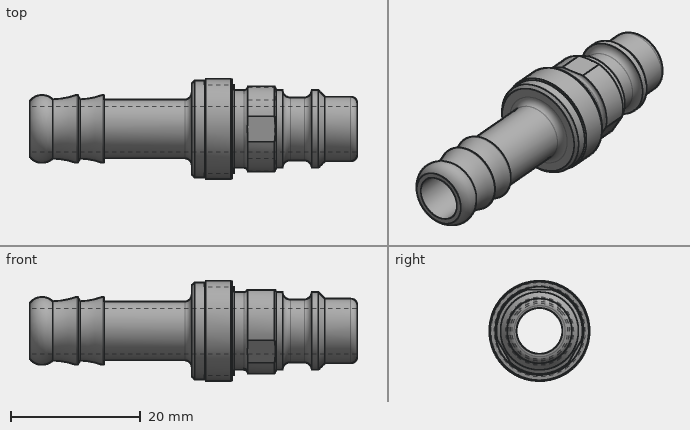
import cadquery as cq
import math

LENGTH = 50.5
BORE_R = 7.0 / 2

TUBE_R = 9.1 / 2
NOSE_FACE_R = 4.3
NOSE_R = 5.25
NOSE_PEAK_X = 1.8
NOSE_END_X = 3.55
BARB_ROOT_R = 4.6
BARB_R = 5.25
BARB_TIP = 0.15
BARB_1_X = 7.15
BARB_2_X = 11.15
BARB_SAG = 0.15
BARB_2_ROOT_X = 7.8

FLANGE_X = 24.95
FLANGE_R = 15.0 / 2
FLANGE_FACE_R = 14.05 / 2
FLANGE_CHAMFER_LENGTH = 0.5
TUBE_FILLET = 1.05
FLANGE_END_X = 26.95
SEAT_R = 13.65 / 2
SEAT_END_X = 31.5
RING_GAP = 0.15
RING_START_X = FLANGE_END_X + RING_GAP
RING_END_X = 31.25
RING_R = 15.5 / 2
RING_CHAMFER_LENGTH = 0.3
RING_CHAMFER_DEPTH = 0.15

NECK_R = 12.0 / 2
WRENCH_X = 33.65
WRENCH_END_X = 37.7
WRENCH_R = 13.25 / 2
NECK_END_X = WRENCH_X - (WRENCH_R - NECK_R)
WRENCH_CHAMFER_END_X = 38.05
FLAT_DISTANCE = 6.3
FLAT_COUNT = 3

PLUG_R = 10.0 / 2
GROOVE_R = 9.75 / 2
SHOULDER_END_X = 39.0
GROOVE_DEPTH = NECK_R - GROOVE_R
GROOVE_END_X = 42.3
BEAD_X = GROOVE_END_X + GROOVE_DEPTH
BEAD_END_X = 44.5
BEAD_SLOPE_END_X = BEAD_END_X + NECK_R - PLUG_R
TIP_ROUND = 1.05
COS_45 = math.cos(math.radians(45))


def barb_slope(outline, start_x, crest_x):
    """Add a slightly hollow slope that rises from a barb's root to its crest."""
    middle = ((start_x + crest_x) / 2, (BARB_ROOT_R + BARB_R) / 2 - BARB_SAG)
    return outline.threePointArc(middle, (crest_x, BARB_R))


def barb_crest(outline, crest_x):
    """Add the rounded back edge of a barb."""
    middle = (crest_x + BARB_TIP * (1 + COS_45), BARB_R - BARB_TIP * (1 - COS_45))
    outline = outline.lineTo(crest_x + BARB_TIP, BARB_R)
    return outline.threePointArc(middle, (crest_x + 2 * BARB_TIP, BARB_R - BARB_TIP))


def hollow_corner(outline, start, end, center):
    """Add a concave quarter round between two points."""
    radius = abs(end[0] - start[0])
    side_x = math.copysign(1, (start[0] + end[0]) / 2 - center[0])
    middle = (center[0] + side_x * radius * COS_45, center[1] - radius * COS_45)
    return outline.threePointArc(middle, end)


def tail_outline():
    """Outline of the hose tail, from the bore to the foot of the flange fillet."""
    outline = cq.Workplane("XY").moveTo(0, BORE_R).lineTo(0, NOSE_FACE_R)
    outline = outline.threePointArc((NOSE_PEAK_X, NOSE_R), (NOSE_END_X, BARB_ROOT_R))
    outline = barb_slope(outline, NOSE_END_X, BARB_1_X)
    outline = barb_crest(outline, BARB_1_X).lineTo(BARB_2_ROOT_X, BARB_ROOT_R)
    outline = barb_slope(outline, BARB_2_ROOT_X, BARB_2_X)
    outline = barb_crest(outline, BARB_2_X).lineTo(BARB_2_X + 2 * BARB_TIP, TUBE_R)
    return outline.lineTo(FLANGE_X - TUBE_FILLET, TUBE_R)


def add_flange_and_wrench(outline):
    """Continue the outline over the flange, the ring seat and the wrench section."""
    foot = (FLANGE_X - TUBE_FILLET, TUBE_R)
    outline = hollow_corner(
        outline, foot, (FLANGE_X, TUBE_R + TUBE_FILLET), (foot[0], TUBE_R + TUBE_FILLET)
    )
    outline = (
        outline.lineTo(FLANGE_X, FLANGE_FACE_R)
        .lineTo(FLANGE_X + FLANGE_CHAMFER_LENGTH, FLANGE_R)
        .lineTo(FLANGE_END_X, FLANGE_R)
        .lineTo(FLANGE_END_X, SEAT_R)
        .lineTo(SEAT_END_X, SEAT_R)
        .lineTo(SEAT_END_X, NECK_R)
        .lineTo(NECK_END_X, NECK_R)
    )
    outline = hollow_corner(
        outline, (NECK_END_X, NECK_R), (WRENCH_X, WRENCH_R), (NECK_END_X, WRENCH_R)
    )
    return (
        outline.lineTo(WRENCH_END_X, WRENCH_R)
        .lineTo(WRENCH_CHAMFER_END_X, NECK_R)
        .lineTo(SHOULDER_END_X, NECK_R)
    )


def add_plug(outline):
    """Continue the outline over the locking groove, the bead and the plug tip."""
    groove_x = SHOULDER_END_X + GROOVE_DEPTH
    outline = hollow_corner(
        outline, (SHOULDER_END_X, NECK_R), (groove_x, GROOVE_R), (groove_x, NECK_R)
    )
    outline = outline.lineTo(GROOVE_END_X, GROOVE_R)
    outline = hollow_corner(
        outline, (GROOVE_END_X, GROOVE_R), (BEAD_X, NECK_R), (GROOVE_END_X, NECK_R)
    )
    tip_middle = (
        LENGTH - TIP_ROUND * (1 - COS_45),
        PLUG_R - TIP_ROUND * (1 - COS_45),
    )
    return (
        outline.lineTo(BEAD_END_X, NECK_R)
        .lineTo(BEAD_SLOPE_END_X, PLUG_R)
        .lineTo(LENGTH - TIP_ROUND, PLUG_R)
        .threePointArc(tip_middle, (LENGTH, PLUG_R - TIP_ROUND))
        .lineTo(LENGTH, BORE_R)
    )


def make_flat_cutters():
    """One block above each wrench flat, evenly spaced about the axis."""
    length = WRENCH_CHAMFER_END_X - NECK_END_X
    block = cq.Workplane("XY").box(length, 2 * WRENCH_R, WRENCH_R, centered=(False, True, False))
    block = block.translate((NECK_END_X, 0, FLAT_DISTANCE))
    return [block.rotate((0, 0, 0), (1, 0, 0), i * 360 / FLAT_COUNT) for i in range(FLAT_COUNT)]


def make_nipple():
    """Hollow nipple with the hose tail, wrench section and plug in one piece."""
    outline = add_plug(add_flange_and_wrench(tail_outline()))
    nipple = outline.close().revolve(360, (0, 0, 0), (1, 0, 0))
    for cutter in make_flat_cutters():
        nipple = nipple.cut(cutter)
    return nipple


def make_ring():
    """Marking ring that fits on the seat behind the flange."""
    return (
        cq.Workplane("XY")
        .moveTo(RING_START_X, SEAT_R)
        .lineTo(RING_START_X, RING_R)
        .lineTo(RING_END_X - RING_CHAMFER_LENGTH, RING_R)
        .lineTo(RING_END_X, RING_R - RING_CHAMFER_DEPTH)
        .lineTo(RING_END_X, SEAT_R)
        .close()
        .revolve(360, (0, 0, 0), (1, 0, 0))
    )


nipple = make_nipple()
ring = make_ring()
result = cq.Compound.makeCompound([nipple.val(), ring.val()])